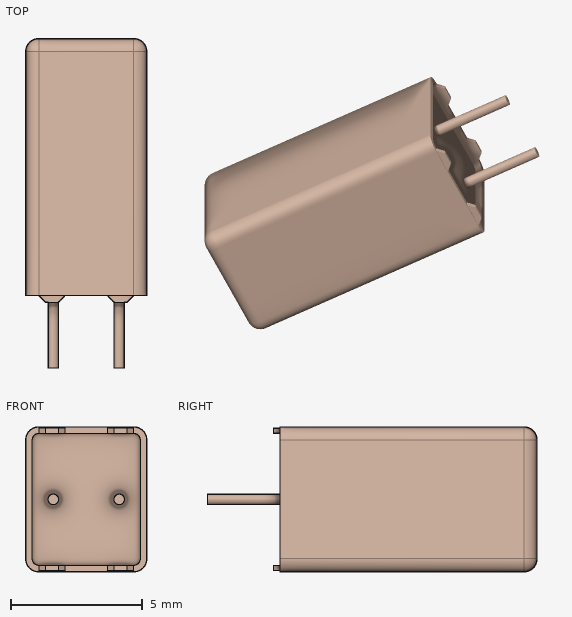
import cadquery as cq

WIDTH = 4.6
HEIGHT = 5.5
TOTAL_LENGTH = 12.5
PIN_REACH = 2.75
HOUSING_LENGTH = TOTAL_LENGTH - PIN_REACH
CORNER_RADIUS = 0.5

WALL = 0.25
RECESS_DEPTH = 0.25

TAB_WIDTH = 1.0
TAB_LENGTH = 0.25
TAB_THICKNESS = 0.2
TAB_BEVEL = 0.25
TAB_CENTER_X = WIDTH / 2 - CORNER_RADIUS - TAB_WIDTH / 2
TAB_CENTER_Z = HEIGHT / 2 - WALL + TAB_THICKNESS / 2

PIN_DIAMETER = 0.4
PIN_PITCH = 2.5


def rounded_prism(width, height, length, radius):
    """Prism from Y = 0 toward +Y with rounded edges along Y."""
    return cq.Workplane("XZ").rect(width, height).extrude(-length).edges("|Y").fillet(radius)


def make_tab(x, z):
    """Tab pointing toward -Y, narrowing to its free end."""
    half_base = TAB_WIDTH / 2
    half_tip = half_base - TAB_BEVEL
    outline = [
        (x - half_base, 0),
        (x + half_base, 0),
        (x + half_tip, -TAB_LENGTH),
        (x - half_tip, -TAB_LENGTH),
    ]
    return (
        cq.Workplane("XY")
        .workplane(offset=z - TAB_THICKNESS / 2)
        .polyline(outline)
        .close()
        .extrude(TAB_THICKNESS)
    )


def make_housing():
    """Box with a rounded closed end, a recessed face and four rim tabs."""
    body = rounded_prism(WIDTH, HEIGHT, HOUSING_LENGTH, CORNER_RADIUS)
    body = body.faces(">Y").edges().fillet(CORNER_RADIUS)
    recess = rounded_prism(
        WIDTH - 2 * WALL, HEIGHT - 2 * WALL, RECESS_DEPTH, CORNER_RADIUS - WALL
    )
    body = body.cut(recess)
    for x in (-TAB_CENTER_X, TAB_CENTER_X):
        for z in (-TAB_CENTER_Z, TAB_CENTER_Z):
            body = body.union(make_tab(x, z))
    return body


def make_pin(x):
    """Round pin standing on the recess floor and pointing toward -Y."""
    return (
        cq.Workplane("XZ", origin=(x, RECESS_DEPTH, 0))
        .circle(PIN_DIAMETER / 2)
        .extrude(RECESS_DEPTH + PIN_REACH)
    )


housing = make_housing()
pins = [make_pin(x) for x in (-PIN_PITCH / 2, PIN_PITCH / 2)]

result = cq.Compound.makeCompound([housing.val(), *[pin.val() for pin in pins]])